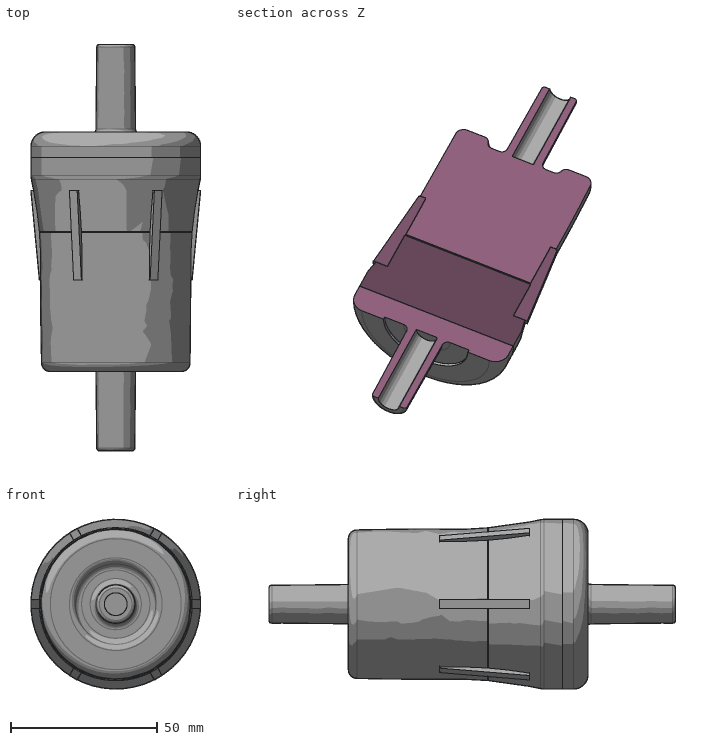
import cadquery as cq
import math


tip_y = 69.5
front_face_y = -42.4
rear_face_y = 39.6
seal_front_y = 5.1
seal_thickness = 0.4
seal_rear_y = seal_front_y + seal_thickness
flare_start_y = -15.3
rim_start_y = 23.3
rim_end_y = 24.6
cap_seam_y = 30.8

rim_radius = 29.0
flare_end_slope = 0.22
flare_end_radius = rim_radius - (rim_end_y - rim_start_y) * math.tan(math.atan(flare_end_slope) / 2)
flare_mid_radius = 26.1
flare_start_radius = 25.7
barrel_radius = 25.4
barrel_draft_slope = 0.02
front_edge_round = 3.0
cap_edge_round = 5.0

nozzle_root_radius = 6.8
nozzle_tip_radius = 6.5
nozzle_tip_round = 1.0
nozzle_bore_radius = 3.9
nozzle_root_round = 2.0

recess_mouth_radius = 15.8
recess_floor_radius = 11.7
recess_depth = 3.2
recess_floor_y = front_face_y + recess_depth
rear_recess_depth = 1.0
rear_recess_floor_y = rear_face_y - rear_recess_depth

rib_count = 6
rib_width = 3.0
rib_front_y = -11.1
rib_rear_y = 19.6
rib_front_radius = 26.1
rib_rear_radius = 29.0
rib_inner_radius = 23.6


def revolve(sketch):
    """Turn a closed (radius, y) profile about the Y axis."""
    return sketch.close().revolve(360, (0, 0, 0), (0, 1, 0))


def disc(radius, y_start, y_end):
    """Cylinder on the Y axis between two stations."""
    return revolve(
        cq.Workplane("XY")
        .moveTo(0, y_start)
        .lineTo(radius, y_start)
        .lineTo(radius, y_end)
        .lineTo(0, y_end)
    )


def nozzle(base_y, end_y):
    """Tapered spigot from base_y to end_y, rounded at its tip and flared at its root."""
    outward = math.copysign(1, end_y - base_y)
    return revolve(
        cq.Workplane("XY")
        .moveTo(0, end_y)
        .lineTo(nozzle_tip_radius - nozzle_tip_round, end_y)
        .tangentArcPoint((nozzle_tip_radius, end_y - outward * nozzle_tip_round), relative=False)
        .lineTo(nozzle_root_radius, base_y + outward * nozzle_root_round)
        .tangentArcPoint((nozzle_root_radius + nozzle_root_round, base_y), relative=False)
        .lineTo(0, base_y)
    )


def outer_form():
    """Barrel, flare and rim as one plain solid, shared by the bodies stacked along the axis."""
    return revolve(
        cq.Workplane("XY")
        .moveTo(0, front_face_y)
        .lineTo(barrel_radius - front_edge_round, front_face_y)
        .tangentArcPoint((barrel_radius, front_face_y + front_edge_round), relative=False)
        .spline(
            [
                (flare_start_radius, flare_start_y),
                (flare_mid_radius, seal_front_y),
                (flare_end_radius, rim_start_y),
            ],
            includeCurrent=True,
            tangents=[(barrel_draft_slope, 1), (flare_end_slope, 1)],
        )
        .tangentArcPoint((rim_radius, rim_end_y), relative=False)
        .lineTo(rim_radius, rear_face_y - cap_edge_round)
        .tangentArcPoint((rim_radius - cap_edge_round, rear_face_y), relative=False)
        .lineTo(0, rear_face_y)
    )


def stack_slice(y_start, y_end):
    """The part of the outer form between two stations."""
    return outer_form().intersect(disc(2 * rim_radius, y_start, y_end))


def recess_form():
    """Front recess whose wall sweeps in an S of two equal arcs from floor to mouth."""
    return revolve(
        cq.Workplane("XY")
        .moveTo(0, recess_floor_y)
        .lineTo(recess_floor_radius, recess_floor_y)
        .tangentArcPoint(
            ((recess_floor_radius + recess_mouth_radius) / 2, (recess_floor_y + front_face_y) / 2),
            relative=False,
        )
        .tangentArcPoint((recess_mouth_radius, front_face_y), relative=False)
        .lineTo(0, front_face_y)
    )


def ribs():
    """Sloping bars spaced evenly around the axis."""
    bar = (
        cq.Workplane("XY")
        .moveTo(rib_inner_radius, rib_front_y)
        .lineTo(rib_front_radius, rib_front_y)
        .lineTo(rib_rear_radius, rib_rear_y)
        .lineTo(rib_inner_radius, rib_rear_y)
        .close()
        .extrude(rib_width / 2, both=True)
    )
    return [bar.rotate((0, 0, 0), (0, 1, 0), 360 * i / rib_count) for i in range(rib_count)]


def make_seal():
    """Thin plate between housing and sleeve that carries the ribs."""
    plate = stack_slice(seal_front_y, seal_rear_y)
    for rib in ribs():
        plate = plate.union(rib)
    return plate


def cut_rib_slots(body):
    """Slots that the seal's ribs sit in."""
    for rib in ribs():
        body = body.cut(rib)
    return body


def make_housing():
    """Inlet end: barrel with a recessed front face and a blind-bored nozzle."""
    body = stack_slice(front_face_y, seal_front_y)
    body = body.cut(recess_form())
    body = body.union(nozzle(recess_floor_y, -tip_y))
    body = body.cut(disc(nozzle_bore_radius, -tip_y, recess_floor_y))
    return cut_rib_slots(body)


def make_sleeve():
    """Flared middle that widens to the rim."""
    return cut_rib_slots(stack_slice(seal_rear_y, cap_seam_y))


def make_cap():
    """Outlet end: rounded cover with a shallow recess and a blind-bored nozzle."""
    body = stack_slice(cap_seam_y, rear_face_y)
    body = body.cut(disc(recess_mouth_radius, rear_recess_floor_y, rear_face_y))
    body = body.union(nozzle(rear_recess_floor_y, tip_y))
    return body.cut(disc(nozzle_bore_radius, rear_recess_floor_y, tip_y))


housing = make_housing()
seal = make_seal()
sleeve = make_sleeve()
cap = make_cap()

result = cq.Compound.makeCompound([housing.val(), seal.val(), sleeve.val(), cap.val()])